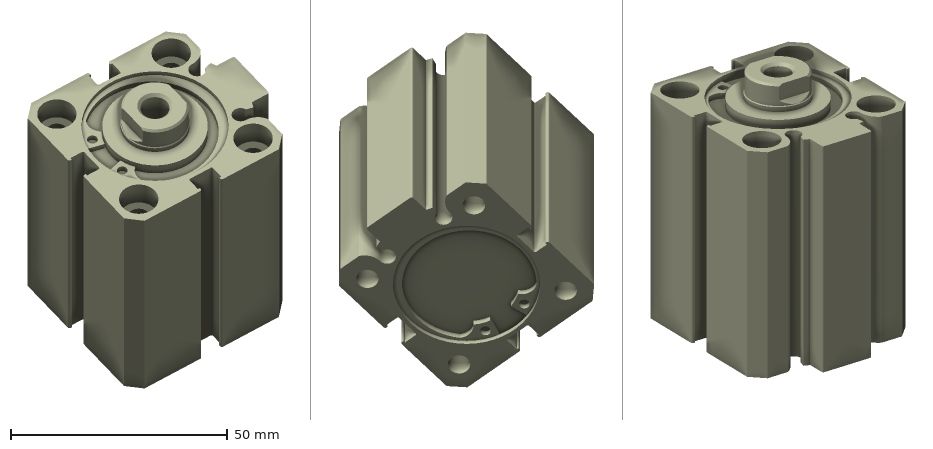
import cadquery as cq
import math


body_half = 22.5
body_length = 58.0
corner_chamfer = 3.4
bore_radius = 17.0

ring_thickness = 1.5
ring_recess = 1.2
ring_outer_radius = 17.86
ring_bore_radius = 15.55
ring_bore_shift = 1.0
ear_inner_radius = 12.45
ear_gap_angle = 14.7
ear_root_angle = 33.0
ear_hole_angle = 23.6
ear_hole_ring_radius = 14.8
ear_hole_diameter = 2.5
ear_relief_mid = (9.3, -11.85)
ear_relief_end_x = 11.7
seat_depth = ring_recess + ring_thickness

slot_floor = 18.0
slot_half_width = 3.3
slot_mouth_half_width = 2.75
slot_lip = 0.85
lip_round = 0.5
slot_floor_round = 0.4

rail_half_width = 7.0
rail_height = 5.0
rail_round = 0.5
rail_top = body_half + rail_height
hook_tip = (8.5, 21.95)
hook_heel = (8.0, 20.15)
rail_groove_center = (8.6, 18.15)
rail_groove_radius = 2.06
lug_radius = 4.85

hole_offset = 16.25
hole_diameter = 5.2
counterbore_diameter = 9.1
counterbore_depth = 6.2

collar_radius = 12.2
head_cover_length = 12.0
rear_cover_thickness = 6.0

rod_radius = 8.0
rod_tip_radius = 7.8
rod_top = 65.0
rod_shoulder = 59.25
rod_tip_chamfer = 0.5
flat_half_width = 6.5
flat_bottom = 60.8
rod_hole_radius = 3.37
rod_hole_mouth_radius = 4.1
rod_hole_depth = 13.0
drill_point_angle = 118.0


def rail_side_gap():
    """Channel between the rail and the lug around the +X, +Y mounting hole."""
    gx, gy = rail_groove_center
    lug_x = gx + rail_groove_radius + lug_radius
    lug_top = (lug_x - math.sqrt(lug_radius**2 - (body_half - gy) ** 2), body_half)
    lug_diagonal = math.radians(150)
    lug_mid = (lug_x + lug_radius * math.cos(lug_diagonal), gy + lug_radius * math.sin(lug_diagonal))
    heel_angle = math.atan2(hook_heel[1] - gy, hook_heel[0] - gx)
    heel = (gx + rail_groove_radius * math.cos(heel_angle), gy + rail_groove_radius * math.sin(heel_angle))
    return (
        cq.Workplane("XY")
        .moveTo(rail_half_width, rail_top)
        .lineTo(rail_half_width, body_half)
        .lineTo(*hook_tip)
        .lineTo(*heel)
        .threePointArc((gx, gy - rail_groove_radius), (gx + rail_groove_radius, gy))
        .threePointArc(lug_mid, lug_top)
        .lineTo(lug_top[0], rail_top)
        .close()
        .extrude(body_length)
    )


def sensor_slot():
    """T-slot in the -Y side, with rounded lips at its mouth."""
    mouth_face = slot_mouth_half_width + lip_round
    round_mid = lip_round * (1 - math.sqrt(0.5))
    lip_top = -body_half + slot_lip
    mouth = (
        cq.Workplane("XY")
        .moveTo(-mouth_face, -body_half)
        .threePointArc(
            (-slot_mouth_half_width - round_mid, -body_half + round_mid),
            (-slot_mouth_half_width, -body_half + lip_round),
        )
        .lineTo(-slot_mouth_half_width, lip_top)
        .lineTo(slot_mouth_half_width, lip_top)
        .lineTo(slot_mouth_half_width, -body_half + lip_round)
        .threePointArc(
            (slot_mouth_half_width + round_mid, -body_half + round_mid),
            (mouth_face, -body_half),
        )
        .close()
        .extrude(body_length)
    )
    channel = (
        cq.Workplane("XY")
        .rect(2 * slot_half_width, -lip_top - slot_floor)
        .extrude(body_length)
        .translate((0, (lip_top - slot_floor) / 2, 0))
        .edges("|Z and >Y")
        .fillet(slot_floor_round)
    )
    return mouth.union(channel)


def ring_groove(bottom):
    """Disc that opens the bore to the retaining ring's outer radius."""
    return (
        cq.Workplane("XY", origin=(0, 0, bottom))
        .circle(ring_outer_radius)
        .extrude(ring_thickness)
    )


def make_housing():
    block = (
        cq.Workplane("XY")
        .rect(2 * body_half, 2 * body_half)
        .extrude(body_length)
        .edges("|Z")
        .chamfer(corner_chamfer)
    )
    rail = (
        cq.Workplane("XY")
        .rect(2 * rail_half_width, 2 * rail_height)
        .extrude(body_length)
        .translate((0, body_half, 0))
        .edges("|Z and >Y")
        .fillet(rail_round)
    )
    housing = block.union(rail)

    gap = rail_side_gap()
    housing = housing.cut(gap).cut(gap.mirror("YZ"))

    slot = sensor_slot()
    for angle in (-90, 0, 90):
        housing = housing.cut(slot.rotate((0, 0, 0), (0, 0, 1), angle))

    housing = (
        housing.faces(">Z")
        .workplane(origin=(0, 0, body_length))
        .rect(2 * hole_offset, 2 * hole_offset, forConstruction=True)
        .vertices()
        .cboreHole(hole_diameter, counterbore_diameter, counterbore_depth)
    )

    bore = cq.Workplane("XY").circle(bore_radius).extrude(body_length)
    housing = housing.cut(bore)
    for bottom in (ring_recess, body_length - seat_depth):
        housing = housing.cut(ring_groove(bottom))
    return housing


def split_point(radius, angle):
    """Point at a radius and at an angle from -Y, on the +X side of the ring's split."""
    turn = math.radians(angle)
    return (radius * math.sin(turn), -radius * math.cos(turn))


def mirrored(point):
    return (-point[0], point[1])


def make_retaining_ring(bottom):
    outer_end = split_point(ring_outer_radius, ear_gap_angle)
    inner_end = split_point(ear_inner_radius, ear_gap_angle)
    ear_mid = split_point(ear_inner_radius, (ear_gap_angle + ear_root_angle) / 2)
    ear_root = split_point(ear_inner_radius, ear_root_angle)
    relief_end = (
        ear_relief_end_x,
        -ring_bore_shift - math.sqrt(ring_bore_radius**2 - ear_relief_end_x**2),
    )
    hole = split_point(ear_hole_ring_radius, ear_hole_angle)
    ring = (
        cq.Workplane("XY", origin=(0, 0, bottom))
        .moveTo(*outer_end)
        .lineTo(*inner_end)
        .threePointArc(ear_mid, ear_root)
        .threePointArc(ear_relief_mid, relief_end)
        .threePointArc((0, ring_bore_radius - ring_bore_shift), mirrored(relief_end))
        .threePointArc(mirrored(ear_relief_mid), mirrored(ear_root))
        .threePointArc(mirrored(ear_mid), mirrored(inner_end))
        .lineTo(*mirrored(outer_end))
        .threePointArc((0, ring_outer_radius), outer_end)
        .close()
        .extrude(ring_thickness)
    )
    ear_holes = (
        cq.Workplane("XY", origin=(0, 0, bottom))
        .pushPoints([hole, mirrored(hole)])
        .circle(ear_hole_diameter / 2)
        .extrude(ring_thickness)
    )
    return ring.cut(ear_holes)


def make_head_cover():
    flange_top = body_length - seat_depth
    flange_bottom = body_length - head_cover_length
    return (
        cq.Workplane("XY", origin=(0, 0, flange_bottom))
        .circle(bore_radius)
        .extrude(flange_top - flange_bottom)
        .faces(">Z")
        .workplane()
        .circle(collar_radius)
        .extrude(seat_depth)
        .cut(cq.Workplane("XY").circle(rod_radius).extrude(body_length))
    )


def make_rear_cover():
    return (
        cq.Workplane("XY", origin=(0, 0, seat_depth))
        .circle(bore_radius)
        .extrude(rear_cover_thickness)
    )


def rod_end_hole():
    """Blind drilled hole with a countersunk mouth and a conical end."""
    mouth_depth = rod_hole_mouth_radius - rod_hole_radius
    point_depth = rod_hole_radius / math.tan(math.radians(drill_point_angle / 2))
    return (
        cq.Workplane("XZ")
        .moveTo(0, rod_top)
        .lineTo(rod_hole_mouth_radius, rod_top)
        .lineTo(rod_hole_radius, rod_top - mouth_depth)
        .lineTo(rod_hole_radius, rod_top - rod_hole_depth)
        .lineTo(0, rod_top - rod_hole_depth - point_depth)
        .close()
        .revolve(360, (0, 0, 0), (0, 1, 0))
    )


def wrench_flat():
    """Material removed on the +Y side for one flat, with a 45 degree run-out below it."""
    runout = rod_radius - flat_half_width
    return (
        cq.Workplane("YZ")
        .moveTo(flat_half_width, rod_top)
        .lineTo(flat_half_width, flat_bottom)
        .lineTo(rod_radius, flat_bottom - runout)
        .lineTo(rod_radius, rod_top)
        .close()
        .extrude(rod_radius, both=True)
    )


def make_piston_rod():
    rod_bottom = seat_depth + rear_cover_thickness
    rod = (
        cq.Workplane("XZ")
        .moveTo(0, rod_bottom)
        .lineTo(rod_radius, rod_bottom)
        .lineTo(rod_radius, rod_shoulder)
        .lineTo(rod_tip_radius, rod_shoulder + rod_radius - rod_tip_radius)
        .lineTo(rod_tip_radius, rod_top - rod_tip_chamfer)
        .lineTo(rod_tip_radius - rod_tip_chamfer, rod_top)
        .lineTo(0, rod_top)
        .close()
        .revolve(360, (0, 0, 0), (0, 1, 0))
    )
    flat = wrench_flat()
    return rod.cut(flat).cut(flat.mirror("XZ")).cut(rod_end_hole())


housing = make_housing()
head_cover = make_head_cover()
rear_cover = make_rear_cover()
piston_rod = make_piston_rod()
retaining_rings = [
    make_retaining_ring(bottom) for bottom in (ring_recess, body_length - seat_depth)
]

result = cq.Compound.makeCompound([
    housing.val(),
    head_cover.val(),
    rear_cover.val(),
    piston_rod.val(),
    *[ring.val() for ring in retaining_rings],
])